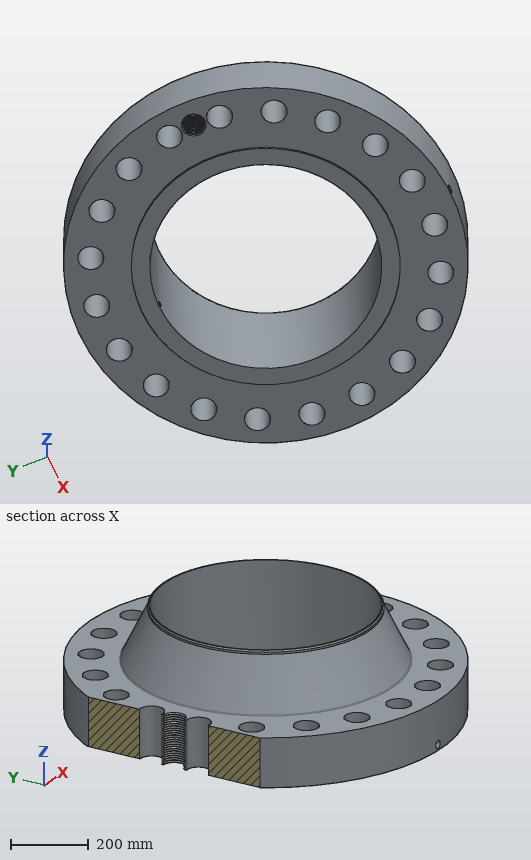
import cadquery as cq
import math

INCH = 25.4

flange_diameter = 41.0 * INCH
flange_thickness = 5.5 * INCH
raised_face_diameter = 27.25 * INCH
raised_face_height = 0.25 * INCH
flange_top = raised_face_height + flange_thickness

hub_base_diameter = 29.5 * INCH
hub_length = 11.5 * INCH
hub_top = raised_face_height + hub_length
pipe_diameter = 24.0 * INCH
pipe_wall = 0.25 * INCH
pipe_stub_length = 10.0
hub_fillet_radius = 3.0
bore_diameter = pipe_diameter - 2 * pipe_wall

bevel_land = pipe_wall / 2
bevel_angle = 37.5
bevel_height = (pipe_wall - bevel_land) / math.tan(math.radians(bevel_angle))

bolt_circle_diameter = 35.5 * INCH
bolt_count = 20
bolt_hole_diameter = 2.625 * INCH
bolt_pitch_angle = 360 / bolt_count

jack_major_diameter = 2.5 * INCH
jack_thread_pitch = 0.25 * INCH

lift_major_diameter = 1.0 * INCH
lift_thread_pitch = INCH / 8
lift_depth = 1.5 * INCH
pilot_diameter = 0.25 * INCH
pilot_depth = 0.5 * INCH

tap_height = 23.8
tap_socket_diameter = 21.3
tap_socket_depth = 20.0
tap_taper = 1 / 16
tap_well_diameter = 18.0
tap_well_depth = 30.0
tap_bore_diameter = 0.5 * INCH

THREAD_DEPTH_RATIO = 0.5413


def make_body():
    """Revolve the half section of the ring, raised face and hub."""
    bore_radius = bore_diameter / 2
    section = [
        (bore_radius, 0),
        (raised_face_diameter / 2, 0),
        (raised_face_diameter / 2, raised_face_height),
        (flange_diameter / 2, raised_face_height),
        (flange_diameter / 2, flange_top),
        (hub_base_diameter / 2, flange_top),
        (pipe_diameter / 2, hub_top - pipe_stub_length),
        (pipe_diameter / 2, hub_top - bevel_height),
        (bore_radius + bevel_land, hub_top),
        (bore_radius, hub_top),
    ]
    body = cq.Workplane("XZ").polyline(section).close().revolve(360, (0, 0), (0, 1))
    return body.faces("%CONE").edges("<Z").fillet(hub_fillet_radius)


def make_bolt_holes():
    """Cylinders that cut the through bolt holes."""
    return (
        cq.Workplane("XY")
        .polarArray(bolt_circle_diameter / 2, bolt_pitch_angle / 2, 360, bolt_count)
        .circle(bolt_hole_diameter / 2)
        .extrude(flange_top)
    )


def make_thread_cutter(major_diameter, pitch, depth):
    """Cutter with its mouth at Z = 0, whose side is a stack of V grooves, starting full width."""
    major_radius = major_diameter / 2
    minor_radius = major_radius - THREAD_DEPTH_RATIO * pitch
    section = [(0, 0), (major_radius, 0)]
    for turn in range(round(depth / pitch)):
        section.append((minor_radius, -(turn + 0.5) * pitch))
        section.append((major_radius, -(turn + 1) * pitch))
    section.append((0, section[-1][1]))
    return cq.Workplane("XZ").polyline(section).close().revolve(360, (0, 0), (0, 1))


def make_jack_hole():
    """Threaded hole through the full thickness of the ring."""
    cutter = make_thread_cutter(jack_major_diameter, jack_thread_pitch, flange_thickness)
    return cutter.translate((-bolt_circle_diameter / 2, 0, flange_top))


def make_lifting_hole():
    """Blind threaded hole with a pilot hole below it."""
    cutter = make_thread_cutter(lift_major_diameter, lift_thread_pitch, lift_depth)
    pilot = cq.Workplane("XY").circle(pilot_diameter / 2).extrude(-(lift_depth + pilot_depth))
    return cutter.union(pilot).translate((bolt_circle_diameter / 2, 0, flange_top))


def make_pressure_tap():
    """Radial tap from the rim on the -Y side into the central bore."""
    rim = -flange_diameter / 2
    socket_radius = tap_socket_diameter / 2
    socket_end_radius = socket_radius - tap_taper * tap_socket_depth / 2
    section = [
        (0, rim),
        (socket_radius, rim),
        (socket_end_radius, rim + tap_socket_depth),
        (tap_well_diameter / 2, rim + tap_socket_depth),
        (tap_well_diameter / 2, rim + tap_well_depth),
        (tap_bore_diameter / 2, rim + tap_well_depth),
        (tap_bore_diameter / 2, 0),
        (0, 0),
    ]
    cutter = cq.Workplane("XY").polyline(section).close().revolve(360, (0, 0), (0, 1))
    return cutter.translate((0, 0, tap_height))


result = make_body().cut(make_bolt_holes()).cut(make_jack_hole()).cut(make_lifting_hole())

for tap_angle in (0, 180):
    result = result.cut(make_pressure_tap().rotate((0, 0, 0), (0, 0, 1), tap_angle))